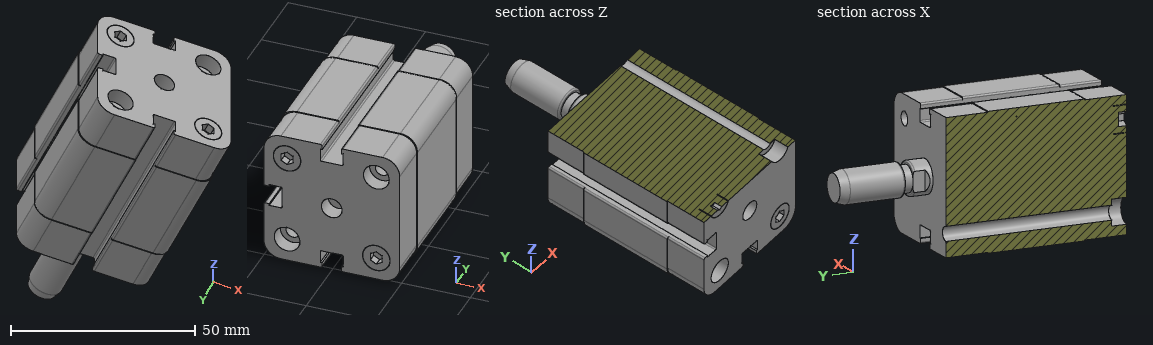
import cadquery as cq
import math

tube_width = 40.1
cap_step = 0.25
cap_width = tube_width - 2 * cap_step
corner_radius = 5.0
cap_length = 12.6
tube_length = 29.2
body_length = 2 * cap_length + tube_length

slot_mouth_width = 5.6
slot_inner_width = 6.65
slot_floor = 14.4
slot_lip = 18.2
lip_radius = 0.5
floor_radius = 0.4
slot_angles = (0, 90, 180)

bolt_spacing = 26.0
through_diameter = 4.1
counterbore_diameter = 7.5
counterbore_depth = 4.5
screw_hole_diameter = 8.0
screw_head_diameter = 7.9
screw_gap_depth = 4.1
hex_across_flats = 3.45
hex_depth = 2.5
center_hole_diameter = 6.0
center_hole_depth = 4.9

total_length = 82.0
rod_root = body_length - cap_length / 2
rod_diameter = 10.0
shoulder_rounding = 0.5
collar_end = 59.95
neck_diameter = 7.9
neck_end = 62.6
tip_diameter = 8.4
tip_length = 2.7
flats_width = 8.0
flats_start = 56.3


def plane_at(y):
    """Plane across the body at y, with local X along +X, local Y along +Z and normal along -Y."""
    return cq.Workplane("XZ", origin=(0, y, 0))


def extrude_back(sketch, length):
    """Extrude a profile of plane_at towards +Y."""
    return sketch.extrude(-length)


def rounded_block(width, start, length):
    block = extrude_back(plane_at(start).rect(width, width), length)
    return block.edges("|Y").fillet(corner_radius)


def slot_cutter(width, start, length):
    """Upward slot with undercut and rounded mouth, for a block of the given width."""
    surface = width / 2
    half_inner = slot_inner_width / 2
    half_mouth = slot_mouth_width / 2
    mouth_edge = half_mouth + lip_radius
    half_floor = half_inner - floor_radius
    wall_start = slot_floor + floor_radius
    lip_top = surface - lip_radius
    profile = (
        plane_at(start)
        .moveTo(-half_floor, slot_floor)
        .lineTo(half_floor, slot_floor)
        .radiusArc((half_inner, wall_start), -floor_radius)
        .lineTo(half_inner, slot_lip)
        .lineTo(half_mouth, slot_lip)
        .lineTo(half_mouth, lip_top)
        .radiusArc((mouth_edge, surface), lip_radius)
        .lineTo(-mouth_edge, surface)
        .radiusArc((-half_mouth, lip_top), lip_radius)
        .lineTo(-half_mouth, slot_lip)
        .lineTo(-half_inner, slot_lip)
        .lineTo(-half_inner, wall_start)
        .radiusArc((-half_floor, slot_floor), -floor_radius)
        .close()
    )
    return extrude_back(profile, length)


def slotted_block(width, start, length):
    block = rounded_block(width, start, length)
    cutter = slot_cutter(width, start, length)
    for angle in slot_angles:
        block = block.cut(cutter.rotate((0, 0, 0), (0, 1, 0), -angle))
    return block


def piston_rod():
    radius = rod_diameter / 2
    neck_radius = neck_diameter / 2
    shoulder_radius = radius - shoulder_rounding
    rod = (
        cq.Workplane("XY")
        .moveTo(0, rod_root)
        .lineTo(radius, rod_root)
        .lineTo(radius, collar_end - shoulder_rounding)
        .radiusArc((shoulder_radius, collar_end), -shoulder_rounding)
        .lineTo(neck_radius, collar_end)
        .lineTo(neck_radius, neck_end)
        .lineTo(shoulder_radius, neck_end)
        .radiusArc((radius, neck_end + shoulder_rounding), -shoulder_rounding)
        .lineTo(radius, total_length - tip_length)
        .lineTo(tip_diameter / 2, total_length)
        .lineTo(0, total_length)
        .close()
        .revolve(360, (0, 0, 0), (0, 1, 0))
    )
    flat = flats_width / 2
    run_out = 2 * (radius - flat)
    for side in (-1, 1):
        cutter = (
            cq.Workplane("XY")
            .moveTo(side * flat, collar_end)
            .lineTo(side * flat, flats_start)
            .lineTo(side * (flat + run_out), flats_start - run_out)
            .lineTo(side * (flat + run_out), collar_end)
            .close()
            .extrude(radius, both=True)
        )
        rod = rod.cut(cutter)
    return rod


bolt = bolt_spacing / 2
mounting_points = [(bolt, bolt), (-bolt, -bolt)]
screw_points = [(-bolt, bolt), (bolt, -bolt)]


def mounting_holes():
    through = plane_at(0).pushPoints(mounting_points).circle(through_diameter / 2)
    through = extrude_back(through, body_length)
    counterbores = plane_at(0).pushPoints(mounting_points).circle(counterbore_diameter / 2)
    counterbores = extrude_back(counterbores, counterbore_depth)
    return through.union(counterbores)


def screw_recesses():
    """Thin gap around each screw head and its hexagon socket, with corners along Z."""
    gaps = (
        plane_at(0)
        .pushPoints(screw_points)
        .circle(screw_hole_diameter / 2)
        .circle(screw_head_diameter / 2)
    )
    hex_turn = 30
    hex_circle = hex_across_flats / math.cos(math.radians(30))
    recesses = extrude_back(gaps, screw_gap_depth)
    for x, z in screw_points:
        socket = extrude_back(plane_at(0).polygon(6, hex_circle), hex_depth)
        socket = socket.rotate((0, 0, 0), (0, 1, 0), hex_turn)
        recesses = recesses.union(socket.translate((x, 0, z)))
    return recesses


center_hole = extrude_back(plane_at(0).circle(center_hole_diameter / 2), center_hole_depth)

result = (
    slotted_block(cap_width, 0, cap_length)
    .union(slotted_block(tube_width, cap_length, tube_length))
    .union(slotted_block(cap_width, cap_length + tube_length, cap_length))
    .union(piston_rod())
    .cut(mounting_holes())
    .cut(screw_recesses())
    .cut(center_hole)
)